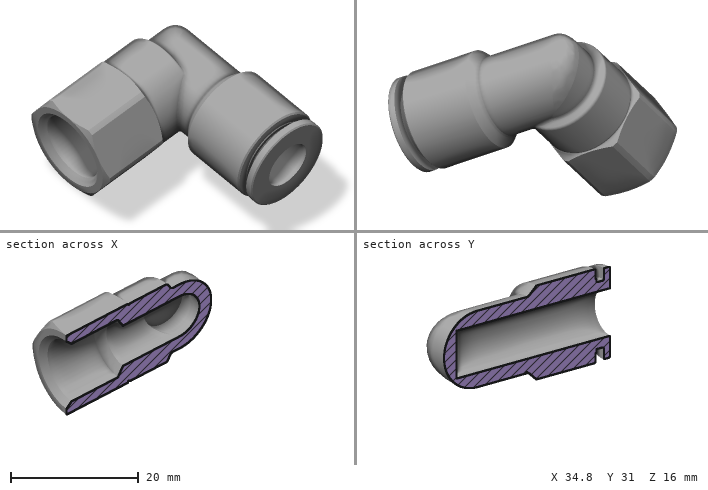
import cadquery as cq
import math


overall_length = 34.8
nut_end = 23.0

nut_half_flats = 8.0
nut_corner_radius = 8.98
nut_start = 10.45
nut_face_radius = 7.97
nut_bevel = (nut_corner_radius - nut_face_radius) * math.tan(math.radians(30))

seam_tolerance = 0.005

elbow_radius = 6.5
corner_tangent = 0.51
collar_radius = 7.9
shoulder_start = 1.67
shoulder_slope = math.tan(math.radians(30))
shoulder_round = 0.52
collar_chamfer = 0.17

sleeve_radius = 8.0
sleeve_step_start = 9.9
sleeve_step_end = 10.15
sleeve_step_radius = 6.7
sleeve_cone_end = 11.52
sleeve_end = 23.07
sleeve_chamfer = 0.25

ring_end = overall_length - nut_corner_radius
ring_flange_length = 1.25
ring_flange_radius = 7.75
ring_neck_radius = 5.7
ring_neck_chamfer = 0.15
lip_radius = 6.35
lip_length = 0.17
ring_chamfer = 0.2

passage_radius = 4.0
thread_radius = 5.78
thread_mouth_radius = 6.8
thread_depth = 10.45
drill_point_angle = 118

far = 2 * elbow_radius
near = far * corner_tangent


def revolve_about_y(profile):
    """Revolve (radius, y) points closed along the Y axis."""
    return cq.Workplane("XY").polyline(profile).close().revolve(360, (0, 0, 0), (0, 1, 0))


def revolve_about_x(profile):
    """Revolve (x, radius) points closed along the X axis."""
    return cq.Workplane("XY").polyline(profile).close().revolve(360, (0, 0, 0), (1, 0, 0))


def prism(outline):
    """Upright block over an XY outline, tall enough to enclose the elbow."""
    return cq.Workplane("XY").polyline(outline).close().extrude(2 * elbow_radius, both=True)


def make_corner():
    """Ellipsoid wedge tangent to both elbow tubes."""
    sphere = cq.Solid.makeSphere(elbow_radius, angleDegrees1=-90, angleDegrees2=90)
    sphere = sphere.rotate(cq.Vector(0, 0, 0), cq.Vector(0, 1, 0), 90)
    sphere = sphere.rotate(cq.Vector(0, 0, 0), cq.Vector(1, 0, 0), -90)
    stretch = cq.Matrix([
        [math.sqrt(1 - corner_tangent), 0, 0, 0],
        [0, math.sqrt(1 + corner_tangent), 0, 0],
        [0, 0, 1, 0],
    ])
    ellipsoid = sphere.transformGeometry(stretch).rotate(cq.Vector(0, 0, 0), cq.Vector(0, 0, 1), 45)
    wedge = prism([(0, 0), (-near, far), (-far, far), (-far, near)])
    return wedge.intersect(cq.Workplane(ellipsoid))


def make_elbow():
    """Two round tubes joined by the rounded outer corner."""
    tube_x = cq.Workplane("YZ", origin=(-far, 0, 0)).circle(elbow_radius).extrude(far + sleeve_cone_end)
    tube_y = cq.Workplane("XZ", origin=(0, far, 0)).circle(elbow_radius).extrude(far + nut_start)
    keep_x = prism([(0, 0), (-near, far), (far, far), (far, -far), (0, -far)])
    keep_y = prism([(0, 0), (-far, near), (-far, -far), (far, -far), (far, 0)])
    return tube_x.intersect(keep_x).union(tube_y.intersect(keep_y)).union(make_corner())


def make_collar():
    """Collar whose sloped shoulder continues inside the elbow to overlap it."""
    shoulder_apex = -shoulder_start + shoulder_slope * elbow_radius
    shoulder_edge = shoulder_apex - shoulder_slope * collar_radius
    inner_radius = elbow_radius - shoulder_round
    collar = revolve_about_y([
        (0, shoulder_apex - shoulder_slope * inner_radius),
        (inner_radius, shoulder_apex - shoulder_slope * inner_radius),
        (collar_radius, shoulder_edge),
        (collar_radius, -nut_start + 2 * collar_chamfer),
        (collar_radius - collar_chamfer, -nut_start + collar_chamfer),
        (collar_radius - collar_chamfer, -nut_start),
        (0, -nut_start),
    ])
    outer_edge = cq.selectors.BoxSelector(
        (-0.35, shoulder_edge - 0.05, -0.35), (0.35, shoulder_edge + 0.05, 0.35)
    )
    return collar.edges(outer_edge).fillet(shoulder_round)


def make_nut():
    """Hexagon with flats facing +Z and -Z, turned down and beveled at its corners."""
    hex_diameter = 2 * nut_half_flats / math.cos(math.radians(30))
    hexagon = (
        cq.Workplane("XZ", origin=(0, -nut_start, 0))
        .polygon(6, hex_diameter)
        .extrude(nut_end - nut_start)
    )
    turned = revolve_about_y([
        (0, -nut_start),
        (nut_face_radius, -nut_start),
        (nut_corner_radius, -nut_start - nut_bevel),
        (nut_corner_radius, -nut_end + nut_bevel),
        (nut_face_radius, -nut_end),
        (0, -nut_end),
    ])
    return hexagon.intersect(turned)


def make_sleeve_and_ring():
    flange_start = ring_end - ring_flange_length
    return revolve_about_x([
        (sleeve_step_start, 0),
        (sleeve_step_start, elbow_radius),
        (sleeve_step_end, sleeve_step_radius),
        (sleeve_cone_end, sleeve_radius),
        (sleeve_end - sleeve_chamfer, sleeve_radius),
        (sleeve_end, sleeve_radius - sleeve_chamfer),
        (sleeve_end, lip_radius),
        (sleeve_end + lip_length, lip_radius),
        (sleeve_end + lip_length, ring_neck_radius),
        (flange_start - ring_neck_chamfer, ring_neck_radius),
        (flange_start, ring_neck_radius + ring_neck_chamfer),
        (flange_start, ring_flange_radius),
        (ring_end - ring_chamfer, ring_flange_radius),
        (ring_end, ring_flange_radius - ring_chamfer),
        (ring_end, 0),
    ])


def make_bores():
    """Threaded-arm bore with a 45 degree mouth and a drill-point floor, plus the passage along X."""
    thread_floor = -nut_end + thread_depth
    mouth_depth = thread_mouth_radius - thread_radius
    floor_depth = (thread_radius - passage_radius) / math.tan(math.radians(drill_point_angle / 2))
    bore_y = revolve_about_y([
        (0, -nut_end),
        (thread_mouth_radius, -nut_end),
        (thread_radius, -nut_end + mouth_depth),
        (thread_radius, thread_floor),
        (passage_radius, thread_floor + floor_depth),
        (passage_radius, 0),
        (0, 0),
    ])
    bore_x = (
        cq.Workplane("YZ", origin=(-passage_radius, 0, 0))
        .circle(passage_radius)
        .extrude(passage_radius + ring_end)
    )
    return bore_y.union(bore_x)


def lies_on(edge, skin):
    """True when the start, middle and end of an edge all touch the given skin."""
    points = [edge.positionAt(share) for share in (0, 0.5, 1)]
    gaps = [cq.Vertex.makeVertex(*point.toTuple()).distance(skin) for point in points]
    return max(gaps) < seam_tolerance


def make_body():
    """Elbow and collar blended along their seam, then the nut and the sleeve."""
    elbow = make_elbow()
    elbow_skin = elbow.shells().val()
    joined = elbow.union(make_collar())
    seam = [
        edge for edge in joined.edges().vals()
        if edge.Center().y < -shoulder_start + seam_tolerance and lies_on(edge, elbow_skin)
    ]
    blended = joined.newObject(seam).fillet(shoulder_round)
    return blended.union(make_nut()).union(make_sleeve_and_ring())


result = make_body().cut(make_bores())